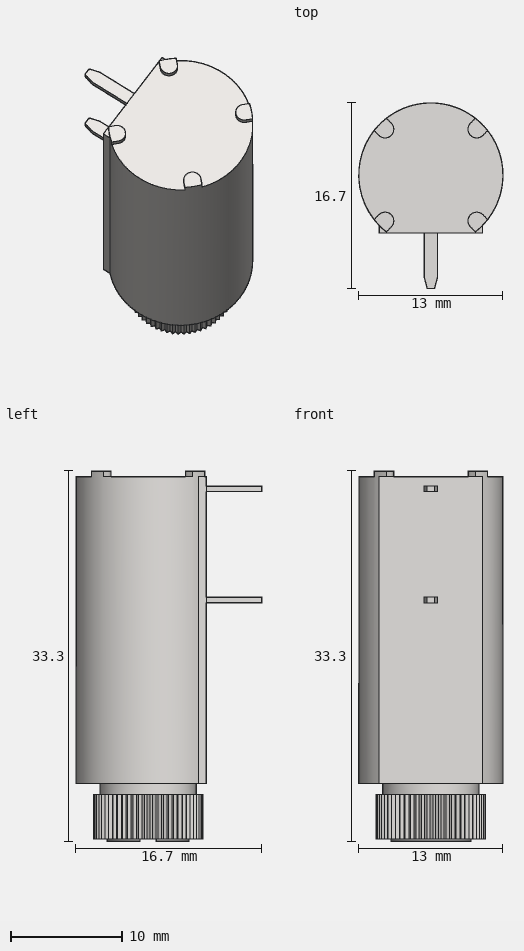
import cadquery as cq
import math

total_height = 33.3

coin_disc_diameter = 7.35
coin_disc_height = 0.2
coin_slot_width = 1.43
cap_diameter = 9.85
cap_top = 4.23
tooth_count = 60
tooth_depth = 0.23
cap_turn = math.radians(2.0)
cap_radius = cap_diameter / 2

neck_diameter = 8.7

body_diameter = 13.0
body_bottom = 5.2
flat_width = 9.32
flat_distance = 5.23
pad_height = 0.5
body_radius = body_diameter / 2
body_top = total_height - pad_height

pad_width = 1.55
pad_center_radius = 5.83
pad_angles = (45, 135, 225, 315)

pin_length = 5.0
pin_width = 1.2
pin_tip_width = 0.65
pin_taper_length = 1.0
pin_thickness = 0.5
upper_pin_height = 31.7
pin_pitch = 10.0


def cylinder(diameter, bottom, top):
    return cq.Workplane("XY").workplane(offset=bottom).circle(diameter / 2).extrude(top - bottom)


def polar(radius, angle):
    """X and Y of a point at the given radius and angle in radians."""
    return radius * math.cos(angle), radius * math.sin(angle)


def make_body():
    """Cylinder cut off at the mounting flat, with square edges along both sides of the flat."""
    base = (
        cq.Workplane("XY")
        .workplane(offset=body_bottom)
        .center(0, -flat_distance / 2)
        .rect(flat_width, flat_distance)
        .extrude(body_top - body_bottom)
    )
    flat_limit = (
        cq.Workplane("XY")
        .workplane(offset=body_bottom)
        .center(0, (body_radius - flat_distance) / 2)
        .rect(body_diameter, body_radius + flat_distance)
        .extrude(body_top - body_bottom)
    )
    return cylinder(body_diameter, body_bottom, body_top).intersect(flat_limit).union(base)


def make_pads():
    """Pads with a round inner end, trimmed by the body cylinder at the outer end."""
    pads = cq.Workplane("XY")
    for angle in pad_angles:
        pad = (
            cq.Workplane("XY")
            .workplane(offset=body_top)
            .center(pad_center_radius, 0)
            .circle(pad_width / 2)
            .extrude(pad_height)
        )
        straight = (
            cq.Workplane("XY")
            .workplane(offset=body_top)
            .center(pad_center_radius + pad_width / 2, 0)
            .rect(pad_width, pad_width)
            .extrude(pad_height)
        )
        pads = pads.add(pad.union(straight).rotate((0, 0, 0), (0, 0, 1), angle))
    return pads.combine().intersect(cylinder(body_diameter, body_top, total_height))


def make_cap():
    """Cap with V-shaped knurling all around its side."""
    pitch = 2 * math.pi / tooth_count
    outline = []
    for tooth in range(tooth_count):
        tip_angle = cap_turn + tooth * pitch
        outline.append(polar(cap_radius, tip_angle))
        outline.append(polar(cap_radius - tooth_depth, tip_angle + pitch / 2))
    return (
        cq.Workplane("XY")
        .workplane(offset=coin_disc_height)
        .polyline(outline)
        .close()
        .extrude(cap_top - coin_disc_height)
    )


def make_coin_disc():
    """Thin disc under the cap, split by a slot along X."""
    slot = (
        cq.Workplane("XY")
        .rect(coin_disc_diameter, coin_slot_width)
        .extrude(coin_disc_height)
    )
    return cylinder(coin_disc_diameter, 0, coin_disc_height).cut(slot)


def make_pin(height):
    """Flat pin with a tapered tip, pointing toward -Y and centered at the given height."""
    half_width = pin_width / 2
    half_tip = pin_tip_width / 2
    root = -flat_distance
    tip = root - pin_length
    shoulder = tip + pin_taper_length
    return (
        cq.Workplane("XY")
        .workplane(offset=height - pin_thickness / 2)
        .moveTo(-half_width, root)
        .lineTo(-half_width, shoulder)
        .lineTo(-half_tip, tip)
        .lineTo(half_tip, tip)
        .lineTo(half_width, shoulder)
        .lineTo(half_width, root)
        .close()
        .extrude(pin_thickness)
    )


result = make_body().union(make_pads())
result = result.union(cylinder(neck_diameter, cap_top, body_bottom))
result = result.union(make_cap()).union(make_coin_disc())
for pin_height in (upper_pin_height, upper_pin_height - pin_pitch):
    result = result.union(make_pin(pin_height))